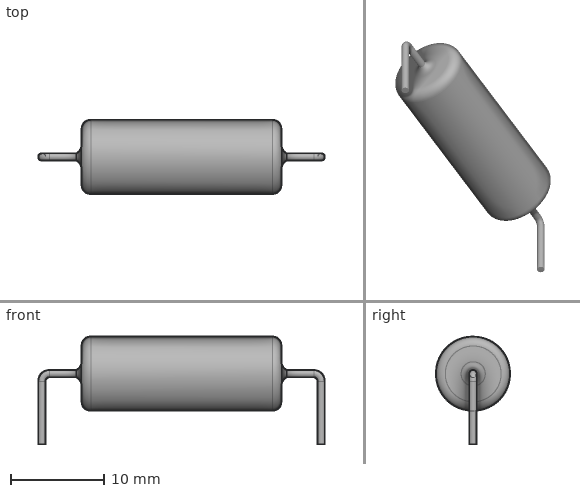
import cadquery as cq

body_diameter = 8.0
body_length = 21.5
body_edge_radius = 1.0

collar_length = 0.55
collar_base_radius = 1.3

lead_diameter = 0.8
lead_pitch = 30.0
lead_drop = 7.6
lead_bend_radius = 0.8

body_radius = body_diameter / 2
lead_radius = lead_diameter / 2
body_end_x = body_length / 2
collar_tip_x = body_end_x + collar_length
lead_x = lead_pitch / 2

flare_rise = collar_base_radius - lead_radius
flare_radius = (collar_length**2 + flare_rise**2) / (2 * collar_length)


def make_collar(side):
    """Collar with a concave flare, tangent to the end face and narrowing to the lead."""
    end_x = side * body_end_x
    tip_x = side * collar_tip_x
    return (
        cq.Workplane("XY")
        .moveTo(end_x, 0)
        .lineTo(end_x, collar_base_radius)
        .radiusArc((tip_x, lead_radius), -side * flare_radius)
        .lineTo(tip_x, 0)
        .close()
        .revolve(360, (0, 0, 0), (1, 0, 0))
    )


def make_body():
    """Cylinder with rounded rims and a flared collar on each end."""
    body = (
        cq.Workplane("YZ", origin=(-body_end_x, 0, 0))
        .circle(body_radius)
        .extrude(body_length)
        .edges("%CIRCLE")
        .fillet(body_edge_radius)
    )
    for side in (-1, 1):
        body = body.union(make_collar(side))
    return body


def make_lead(side):
    """Round wire running out from the collar tip, then bending down."""
    bend_start_x = lead_x - lead_bend_radius
    path = (
        cq.Workplane("XZ")
        .moveTo(side * collar_tip_x, 0)
        .lineTo(side * bend_start_x, 0)
        .tangentArcPoint((side * lead_x, -lead_bend_radius), relative=False)
        .lineTo(side * lead_x, -lead_drop)
    )
    return (
        cq.Workplane("YZ", origin=(side * collar_tip_x, 0, 0))
        .circle(lead_radius)
        .sweep(path)
    )


body = make_body()
leads = [make_lead(side) for side in (-1, 1)]

result = cq.Compound.makeCompound([body.val(), *[lead.val() for lead in leads]])